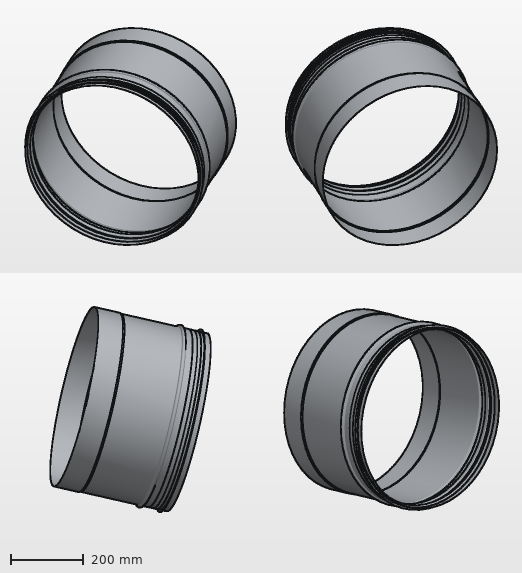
import cadquery as cq
import math

LENGTH = 320.0
DUCT_DIAMETER = 501.5
WALL = 0.5

SOCKET_DIAMETER = 505.5
SOCKET_START = 250.0
SOCKET_TAPER = 5.0

BEAD_DIAMETER = 514.5
BEAD_CENTRE = 76.5
BEAD_CROWN_BEND = 5.5
BEAD_FOOT_BEND = 2.0

BACK_GROOVE = (37.5, 51.0)
FRONT_GROOVE = (16.5, 27.0)
FLOOR_DIAMETER = 490.5
MOUTH_BEND = 2.3
FLOOR_BEND = 1.5

BACK_GASKET_DIAMETER = DUCT_DIAMETER
BACK_GASKET_ROUND = 2.5
FRONT_GASKET_DIAMETER = 500.5
LIP_DIAMETER = 514.5
LIP_THICKNESS = 0.5
LIP_START = 18.5


def revolve_about_y(profile):
    """Turn a closed profile, drawn on the -X side of the XY plane, about the Y axis."""
    return profile.close().revolve(360, (0, 0, 0), (0, 1, 0))


def add_groove(profile, flanks, inset):
    """Continue a wall profile towards +Y through one groove with rounded bends."""
    radius = DUCT_DIAMETER / 2 - inset
    floor_radius = FLOOR_DIAMETER / 2 - inset
    start = flanks[0] - inset
    end = flanks[1] + inset
    mouth_bend = MOUTH_BEND - inset
    floor_bend = FLOOR_BEND + inset
    return (
        profile.lineTo(-radius, start - mouth_bend)
        .tangentArcPoint((-radius + mouth_bend, start), relative=False)
        .lineTo(-floor_radius - floor_bend, start)
        .tangentArcPoint((-floor_radius, start + floor_bend), relative=False)
        .lineTo(-floor_radius, end - floor_bend)
        .tangentArcPoint((-floor_radius - floor_bend, end), relative=False)
        .lineTo(-radius + mouth_bend, end)
        .tangentArcPoint((-radius, end + mouth_bend), relative=False)
    )


def add_bead(profile, inset):
    """Continue a wall profile towards +Y over the bead: a foot, the crown and a foot."""
    radius = DUCT_DIAMETER / 2 - inset
    crown_bend = BEAD_CROWN_BEND - inset
    foot_bend = BEAD_FOOT_BEND + inset

    crown_centre_radius = BEAD_DIAMETER / 2 - BEAD_CROWN_BEND
    foot_centre_radius = radius + foot_bend
    rise = foot_centre_radius - crown_centre_radius
    centre_distance = crown_bend + foot_bend
    half_width = math.sqrt(centre_distance**2 - rise**2)

    crown_share = crown_bend / centre_distance
    joint_radius = crown_centre_radius + rise * crown_share
    joint_offset = half_width * crown_share
    return (
        profile.lineTo(-radius, BEAD_CENTRE - half_width)
        .tangentArcPoint((-joint_radius, BEAD_CENTRE - joint_offset), relative=False)
        .tangentArcPoint((-joint_radius, BEAD_CENTRE + joint_offset), relative=False)
        .tangentArcPoint((-radius, BEAD_CENTRE + half_width), relative=False)
    )


def filled_duct(inset):
    """Filled duct whose surface lies inside the duct's outer face by the inset."""
    radius = DUCT_DIAMETER / 2 - inset
    socket_radius = SOCKET_DIAMETER / 2 - inset

    profile = cq.Workplane("XY").lineTo(-radius, 0)
    profile = add_groove(profile, FRONT_GROOVE, inset)
    profile = add_groove(profile, BACK_GROOVE, inset)
    profile = add_bead(profile, inset)
    profile = (
        profile.lineTo(-radius, SOCKET_START - SOCKET_TAPER)
        .lineTo(-socket_radius, SOCKET_START)
        .lineTo(-socket_radius, LENGTH)
        .lineTo(0, LENGTH)
    )
    return revolve_about_y(profile)


def make_duct():
    """Thin duct wall with the socket, bead and grooves formed in it."""
    return filled_duct(0).cut(filled_duct(WALL)).solids()


def start_gasket(flanks):
    """Gasket profile along the groove floor, ending at the foot of the +Y flank."""
    start, end = flanks
    floor_radius = FLOOR_DIAMETER / 2
    flank_foot_radius = floor_radius + FLOOR_BEND
    return (
        cq.Workplane("XY")
        .moveTo(-floor_radius, start + FLOOR_BEND)
        .lineTo(-floor_radius, end - FLOOR_BEND)
        .tangentArcPoint((-flank_foot_radius, end), relative=False)
    )


def finish_gasket(profile, flanks):
    """Bring a gasket profile down the -Y flank to the groove floor, and revolve it."""
    start = flanks[0]
    floor_radius = FLOOR_DIAMETER / 2
    profile = profile.lineTo(-floor_radius - FLOOR_BEND, start)
    profile = profile.tangentArcPoint((-floor_radius, start + FLOOR_BEND), relative=False)
    return revolve_about_y(profile)


def make_back_gasket():
    """Round-shouldered band filling the groove next to the bead."""
    start, end = BACK_GROOVE
    radius = BACK_GASKET_DIAMETER / 2
    shoulder_radius = radius - BACK_GASKET_ROUND
    profile = (
        start_gasket(BACK_GROOVE)
        .lineTo(-shoulder_radius, end)
        .tangentArcPoint((-radius, end - BACK_GASKET_ROUND), relative=False)
        .lineTo(-radius, start + BACK_GASKET_ROUND)
        .tangentArcPoint((-shoulder_radius, start), relative=False)
    )
    return finish_gasket(profile, BACK_GROOVE)


def make_front_gasket():
    """Band filling the groove next to the spigot end, with a thin sealing lip."""
    start, end = FRONT_GROOVE
    radius = FRONT_GASKET_DIAMETER / 2
    lip_radius = LIP_DIAMETER / 2
    lip_end = LIP_START + LIP_THICKNESS
    profile = (
        start_gasket(FRONT_GROOVE)
        .lineTo(-radius, end)
        .lineTo(-radius, lip_end)
        .lineTo(-lip_radius, lip_end)
        .lineTo(-lip_radius, LIP_START)
        .lineTo(-radius, LIP_START)
        .lineTo(-radius, start)
    )
    return finish_gasket(profile, FRONT_GROOVE)


duct = make_duct()
back_gasket = make_back_gasket()
front_gasket = make_front_gasket()

result = cq.Compound.makeCompound([duct.val(), back_gasket.val(), front_gasket.val()])